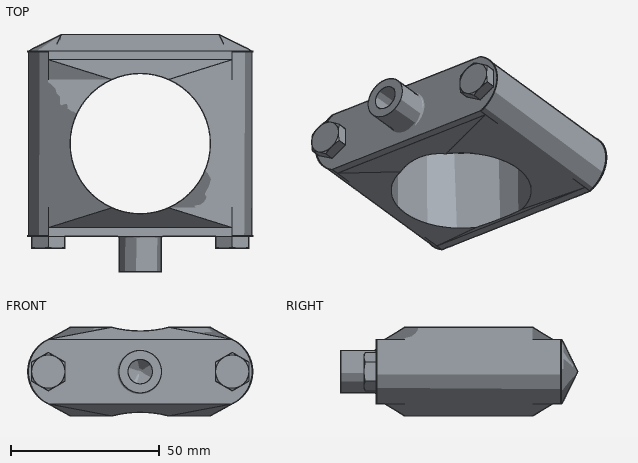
import cadquery as cq
import math

body_half_length = 30.9
body_half_height = 10.9
flat_half_width = 30.965
body_half_width = 37.6

plate_thickness = 0.3
plate_half_width = 37.92
plate_face = body_half_length + plate_thickness

bore_radius = 23.6
pad_half_height = 14.95
pad_half_length = 28.3
rim_half_length = 21.6
rim_half_width = math.sqrt(bore_radius**2 - rim_half_length**2)

ridge_tip = 36.75
ridge_half_width = 26.5
ridge_break = 31.925
ridge_break_radius = 9.8

head_height = 4.0
head_across_flats = 11.2
head_chamfer_rise = 0.4

tube_end = 43.15
tube_radius = 7.15
tube_weld_radius = 0.55
tube_hole_radius = 4.115
tube_hole_depth = 12.0
drill_point_angle = 118.0


def section_prism(half_width, y_start, length):
    """Flat-topped section with bulging arc ends, extruded toward +Y."""
    return (
        cq.Workplane("XZ", origin=(0, y_start, 0))
        .moveTo(-flat_half_width, -body_half_height)
        .lineTo(flat_half_width, -body_half_height)
        .threePointArc((half_width, 0), (flat_half_width, body_half_height))
        .lineTo(-flat_half_width, body_half_height)
        .threePointArc((-half_width, 0), (-flat_half_width, -body_half_height))
        .close()
        .extrude(-length)
    )


def planar_face(*edges):
    return cq.Face.makeFromWires(cq.Wire.assembleEdges(list(edges)))


def polygon_face(*points):
    return cq.Face.makeFromWires(cq.Wire.makePolygon(list(points), close=True))


def raised_pad():
    """Upper pad: sloped ends and ruled flanks blending straight sides into the bore rim."""
    top = pad_half_height
    base = body_half_height
    faces = []
    rim_edges = []
    for side in (-1, 1):
        edge_x = side * flat_half_width
        rim_x = side * rim_half_width
        arc_x = side * bore_radius
        for end in (-1, 1):
            edge_corner = cq.Vector(edge_x, end * pad_half_length, base)
            edge_point = cq.Vector(edge_x, end * rim_half_length, base)
            edge_middle = cq.Vector(edge_x, 0, base)
            rim_point = cq.Vector(rim_x, end * rim_half_length, top)
            rim_middle = cq.Vector(arc_x, 0, top)
            half_angle = math.atan2(rim_half_length, rim_half_width) / 2
            arc_middle = cq.Vector(
                arc_x * math.cos(half_angle), end * bore_radius * math.sin(half_angle), top
            )
            rim = cq.Edge.makeThreePointArc(rim_middle, arc_middle, rim_point)
            rim_edges.append(rim)
            flank_edge = cq.Edge.makeLine(edge_middle, edge_point)
            faces.append(cq.Face.makeRuledSurface(flank_edge, rim))
            faces.append(polygon_face(edge_corner, edge_point, rim_point))
    for end in (-1, 1):
        corner_y = end * pad_half_length
        rim_y = end * rim_half_length
        faces.append(
            polygon_face(
                cq.Vector(-flat_half_width, corner_y, base),
                cq.Vector(flat_half_width, corner_y, base),
                cq.Vector(rim_half_width, rim_y, top),
                cq.Vector(-rim_half_width, rim_y, top),
            )
        )
        rim_edges.append(
            cq.Edge.makeLine(
                cq.Vector(-rim_half_width, rim_y, top), cq.Vector(rim_half_width, rim_y, top)
            )
        )
    faces.append(planar_face(*rim_edges))
    faces.append(
        polygon_face(
            cq.Vector(-flat_half_width, -pad_half_length, base),
            cq.Vector(flat_half_width, -pad_half_length, base),
            cq.Vector(flat_half_width, pad_half_length, base),
            cq.Vector(-flat_half_width, pad_half_length, base),
        )
    )
    solid = cq.Solid.makeSolid(cq.Shell.makeShell(faces)).fix()
    return cq.Workplane(solid)


def ridge():
    """Roof along X closed by a half cone at each end."""
    half_profile = [
        (0, plate_face),
        (body_half_height, plate_face),
        (ridge_break_radius, ridge_break),
        (0, ridge_tip),
    ]
    full_profile = half_profile[1:] + [(-z, y) for z, y in half_profile[2:0:-1]]
    roof = (
        cq.Workplane("YZ", origin=(-ridge_half_width, 0, 0))
        .polyline([(y, z) for z, y in full_profile])
        .close()
        .extrude(2 * ridge_half_width)
    )
    cone = cq.Workplane("XY").polyline(half_profile).close().revolve(360, (0, 0, 0), (0, 1, 0))
    for side in (-1, 1):
        roof = roof.union(cone.translate((side * ridge_half_width, 0, 0)))
    return roof


def bolt_head(x):
    """Hexagon with upright corners, its outer face turned to a cone at the corners."""
    corner_radius = head_across_flats / math.sqrt(3)
    flat_radius = head_across_flats / 2
    head_face = plate_face + head_height
    hexagon = (
        cq.Workplane("XZ", origin=(0, -plate_face, 0))
        .transformed(rotate=(0, 0, 90))
        .polygon(6, 2 * corner_radius)
        .extrude(head_height)
    )
    turned_blank = (
        cq.Workplane("XY")
        .moveTo(0, -plate_face)
        .lineTo(corner_radius, -plate_face)
        .lineTo(corner_radius, -head_face + head_chamfer_rise)
        .lineTo(flat_radius, -head_face)
        .lineTo(0, -head_face)
        .close()
        .revolve(360, (0, 0, 0), (0, 1, 0))
    )
    return hexagon.intersect(turned_blank).translate((x, 0, 0))


def tube():
    """Tube with a concave weld at its root and a blind drilled hole."""
    weld_top = plate_face + tube_weld_radius
    weld_outer_radius = tube_radius + tube_weld_radius
    weld_middle = tube_weld_radius * (1 - math.sqrt(0.5))
    return (
        cq.Workplane("XY")
        .moveTo(0, -plate_face)
        .lineTo(weld_outer_radius, -plate_face)
        .threePointArc(
            (tube_radius + weld_middle, -plate_face - weld_middle), (tube_radius, -weld_top)
        )
        .lineTo(tube_radius, -tube_end)
        .lineTo(0, -tube_end)
        .close()
        .revolve(360, (0, 0, 0), (0, 1, 0))
    )


def tube_hole():
    hole_bottom = -tube_end + tube_hole_depth
    point_depth = tube_hole_radius / math.tan(math.radians(drill_point_angle / 2))
    return (
        cq.Workplane("XY")
        .polyline([
            (0, -tube_end),
            (tube_hole_radius, -tube_end),
            (tube_hole_radius, hole_bottom),
            (0, hole_bottom + point_depth),
        ])
        .close()
        .revolve(360, (0, 0, 0), (0, 1, 0))
    )


clamp = section_prism(body_half_width, -body_half_length, 2 * body_half_length)
for plate_start in (-plate_face, body_half_length):
    clamp = clamp.union(section_prism(plate_half_width, plate_start, plate_thickness))

pad = raised_pad()
bore = cq.Workplane("XY").circle(bore_radius).extrude(pad_half_height, both=True)
clamp = clamp.union(pad).union(pad.mirror("XY")).cut(bore)

clamp = clamp.union(ridge())
for bolt_x in (-flat_half_width, flat_half_width):
    clamp = clamp.union(bolt_head(bolt_x))
result = clamp.union(tube()).cut(tube_hole())